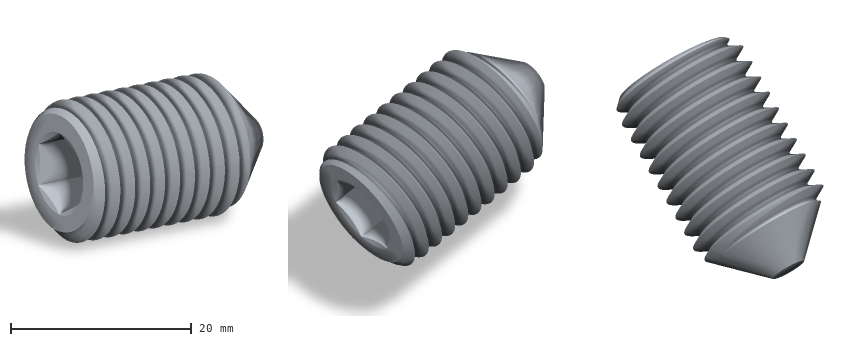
import cadquery as cq
import math


length = 26.0
point_radius = 2.0
end_face_radius = 6.77

major_radius = 8.0
pitch = 2.0
flank_half_angle = math.radians(30)
sharp_height = pitch / 2 / math.tan(flank_half_angle)
root_arc_radius = sharp_height / 6
crest_offset = 0.72
spare_turns = 2
sewing_tolerance = 0.001

across_flats = 8.175
socket_depth = 10.0
socket_corner_radius = across_flats / math.sqrt(3)
countersink_half_angle = math.radians(67)

envelope_radius = major_radius + 1


def make_envelope():
    """Turned shape that gives the thread its end chamfer and cone point."""
    chamfer = envelope_radius - end_face_radius
    cone_length = envelope_radius - point_radius
    return (
        cq.Workplane("XY")
        .lineTo(end_face_radius, 0)
        .lineTo(envelope_radius, chamfer)
        .lineTo(envelope_radius, length - cone_length)
        .lineTo(point_radius, length)
        .lineTo(0, length)
        .close()
        .revolve(360, (0, 0, 0), (0, 1, 0))
    )


def make_threaded_rod():
    """Sharp-crested threaded rod sewn from one-turn skins, past both ends of the body."""
    apex_radius = major_radius - sharp_height
    arc_centre_radius = apex_radius + root_arc_radius / math.sin(flank_half_angle)
    root_radius = arc_centre_radius - root_arc_radius
    tangent_radius = arc_centre_radius - root_arc_radius * math.sin(flank_half_angle)
    tangent_half_width = root_arc_radius * math.cos(flank_half_angle)
    middle = pitch / 2

    low_crest = cq.Vector(major_radius, 0, 0)
    low_tangent = cq.Vector(tangent_radius, 0, middle - tangent_half_width)
    root = cq.Vector(root_radius, 0, middle)
    high_tangent = cq.Vector(tangent_radius, 0, middle + tangent_half_width)
    high_crest = cq.Vector(major_radius, 0, pitch)
    profile_edges = [
        cq.Edge.makeLine(low_crest, low_tangent),
        cq.Edge.makeThreePointArc(low_tangent, root, high_tangent),
        cq.Edge.makeLine(high_tangent, high_crest),
    ]
    turn_path = cq.Wire.makeHelix(pitch, pitch, major_radius)
    profile = cq.Wire.assembleEdges(profile_edges)
    turn_skin = cq.Solid.sweep(profile, [], turn_path, makeSolid=False, isFrenet=True)

    axis_start = cq.Vector(0, 0, 0)
    axis_end = cq.Vector(0, 0, pitch)
    axis_edge = cq.Edge.makeLine(axis_start, axis_end)
    helicoid = cq.Face.makeRuledSurface(axis_edge, turn_path.Edges()[0])
    step_edges = [
        cq.Edge.makeLine(axis_start, low_crest),
        *profile_edges,
        cq.Edge.makeLine(high_crest, axis_end),
        axis_edge,
    ]
    step = cq.Face.makeFromWires(cq.Wire.assembleEdges(step_edges))

    turns = math.ceil(length / pitch) + 2 * spare_turns
    top = cq.Vector(0, 0, turns * pitch)
    faces = [helicoid, step, helicoid.translate(top), step.translate(top)]
    for turn in range(turns):
        faces += turn_skin.translate(cq.Vector(0, 0, turn * pitch)).Faces()
    skin = cq.occ_impl.shapes.shell(*faces, tol=sewing_tolerance)
    rod = cq.Workplane(cq.Solid.makeSolid(skin))

    start = crest_offset - spare_turns * pitch
    return rod.rotate((0, 0, 0), (1, 0, 0), -90).translate((0, start, 0))


def make_socket():
    """Hexagon socket with corners on the Z axis and a countersunk mouth."""
    hexagon = (
        cq.Workplane("XZ")
        .polygon(6, 2 * socket_corner_radius)
        .extrude(-socket_depth)
        .rotate((0, 0, 0), (0, 1, 0), 90)
    )
    cone_depth = socket_corner_radius / math.tan(countersink_half_angle)
    countersink = (
        cq.Workplane("XY")
        .lineTo(socket_corner_radius, 0)
        .lineTo(0, cone_depth)
        .close()
        .revolve(360, (0, 0, 0), (0, 1, 0))
    )
    return hexagon.union(countersink)


threaded_body = make_threaded_rod().intersect(make_envelope())
result = threaded_body.cut(make_socket()).solids()